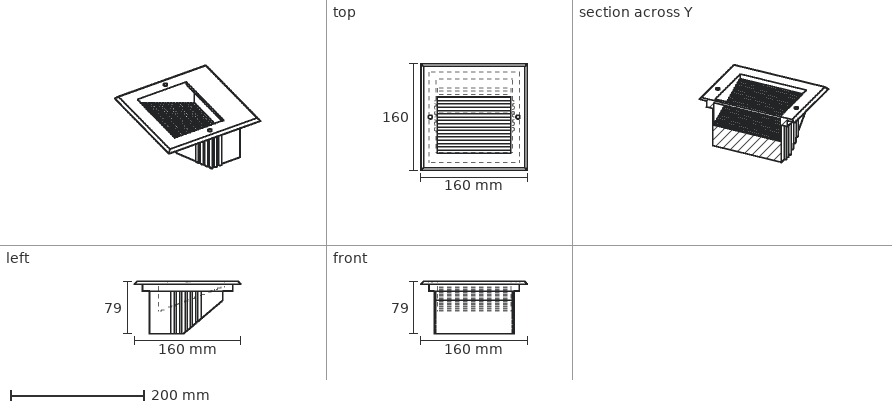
import cadquery as cq

bezel_size = 160.0
bezel_thickness = 4.8
bezel_bevel = 4.0
collar_size = 135.7
collar_bottom = -15.0
body_bottom = -79.0

body_width = 115.2
body_back = 57.6
body_front = -52.8
slope_start_y = 6.4
slope_end_z = -29.0

rib_count = 6
rib_pitch = 8.08
rib_radius = 2.5
rib_center_y = (body_back + body_front) / 2

window_width = 110.4
window_back = 30.2
window_front = -54.7
recess_back = 44.3
tread_depth = 5.0
tread_drop = 2.0
first_tread_z = -8.0

screw_spacing = 131.5
screw_diameter = 6.0
screw_depth = 0.8


def make_bezel():
    """Square plate whose four sides taper inward towards the visible face."""
    top_size = bezel_size - 2 * bezel_bevel
    return (
        cq.Workplane("XY", origin=(0, 0, -bezel_thickness))
        .rect(bezel_size, bezel_size)
        .workplane(offset=bezel_thickness)
        .rect(top_size, top_size)
        .loft(ruled=True)
    )


def make_collar():
    height = -bezel_thickness - collar_bottom
    return cq.Workplane("XY", origin=(0, 0, collar_bottom)).box(
        collar_size, collar_size, height, centered=(True, True, False)
    )


def extrude_profile(points, width):
    """Extrude a (Y, Z) outline symmetrically along X."""
    return cq.Workplane("YZ").polyline(points).close().extrude(width / 2, both=True)


def make_body():
    """Ribbed block with its lower front corner sloped off."""
    body_height = collar_bottom - body_bottom
    block = cq.Workplane("XY").box(
        body_width, body_back - body_front, body_height, centered=(True, False, False)
    ).translate((0, body_front, body_bottom))
    first_rib = rib_center_y - rib_pitch * (rib_count - 1) / 2
    rib_places = [
        (side * body_width / 2, first_rib + i * rib_pitch)
        for side in (-1, 1)
        for i in range(rib_count)
    ]
    ribs = (
        cq.Workplane("XY", origin=(0, 0, body_bottom))
        .pushPoints(rib_places)
        .circle(rib_radius)
        .extrude(body_height)
    )
    corner = extrude_profile(
        [
            (slope_start_y, body_bottom),
            (body_front, slope_end_z),
            (body_front, body_bottom),
        ],
        bezel_size,
    )
    return block.union(ribs).cut(corner)


def make_recess():
    """Opening through the bezel above a staircase that descends towards +Y."""
    window = cq.Workplane("XY").box(
        window_width, window_back - window_front, bezel_thickness, centered=(True, False, False)
    ).translate((0, window_front, -bezel_thickness))

    outline = [(recess_back, -bezel_thickness), (window_front, -bezel_thickness)]
    y = window_front
    z = first_tread_z
    while y < recess_back:
        tread_end = min(y + tread_depth, recess_back)
        outline += [(y, z), (tread_end, z)]
        y = tread_end
        z -= tread_drop
    return window.union(extrude_profile(outline, window_width))


def make_screw_recesses():
    return (
        cq.Workplane("XY")
        .pushPoints([(-screw_spacing / 2, 0), (screw_spacing / 2, 0)])
        .circle(screw_diameter / 2)
        .extrude(-screw_depth)
    )


housing = make_bezel().union(make_collar()).union(make_body())
result = housing.cut(make_recess()).cut(make_screw_recesses())